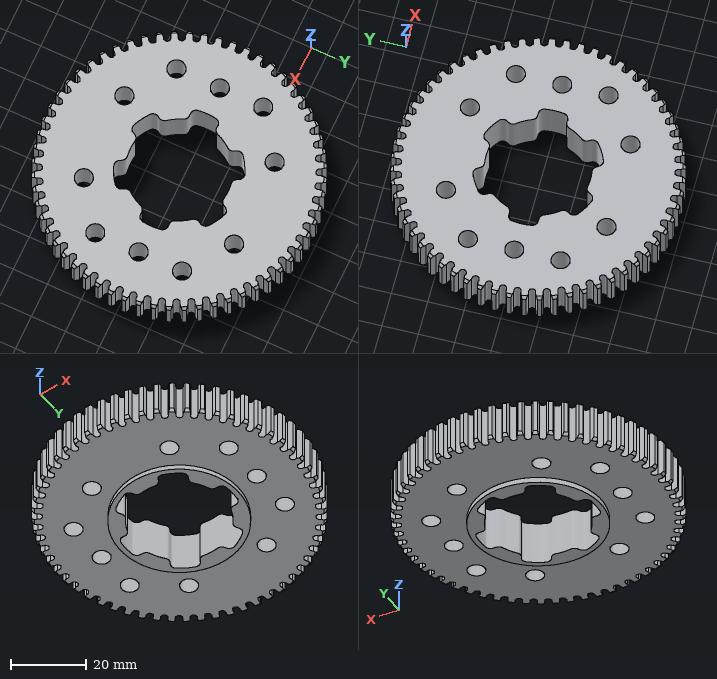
import cadquery as cq
import math

tooth_count = 60
outer_width = 78.6
gear_thickness = 11.15
tip_chamfer = 0.8

root_radius = 36.4
gap_root_half_width = 0.95
flank_start_radius = 37.9
gap_tip_half_width = 1.5

boss_radius = 19.0
boss_height = 1.6

lobe_count = 6
bore_minor_radius = 14.3
bore_major_radius = 17.45
lobe_width = 8.0
bore_fillet = 1.65

hole_diameter = 5.0
hole_pitch = 12.7

tip_corner_distance = outer_width / 2
tip_radius = math.hypot(tip_corner_distance, gap_tip_half_width)
pitch_angle = 2 * math.pi / tooth_count
total_height = gear_thickness + boss_height


def rotated(point, angle):
    """Turn a point about the gear axis."""
    x, y = point
    return (
        x * math.cos(angle) - y * math.sin(angle),
        x * math.sin(angle) + y * math.cos(angle),
    )


def tooth_outline():
    """Closed outline of all the teeth, going round gap by gap."""
    root_arc_centre = root_radius + gap_root_half_width
    start = (tip_corner_distance, -gap_tip_half_width)
    outline = cq.Workplane("XY").moveTo(*start)
    for index in range(tooth_count):
        angle = index * pitch_angle
        outline = (
            outline
            .lineTo(*rotated((flank_start_radius, -gap_root_half_width), angle))
            .lineTo(*rotated((root_arc_centre, -gap_root_half_width), angle))
            .threePointArc(
                rotated((root_radius, 0), angle),
                rotated((root_arc_centre, gap_root_half_width), angle),
            )
            .lineTo(*rotated((flank_start_radius, gap_root_half_width), angle))
            .lineTo(*rotated((tip_corner_distance, gap_tip_half_width), angle))
            .threePointArc(
                rotated((tip_radius, 0), angle + pitch_angle / 2),
                rotated(start, angle + pitch_angle),
            )
        )
    return outline.close()


def gear_body():
    """Toothed disc with both ends of the teeth chamfered."""
    chamfered_disc = (
        cq.Workplane("XY").circle(tip_radius).extrude(gear_thickness).edges().chamfer(tip_chamfer)
    )
    return tooth_outline().extrude(gear_thickness).intersect(chamfered_disc)


def bore_cutter():
    """Round bore with straight-sided lobes, all corners rounded."""
    lobes = cq.Workplane("XY").circle(bore_minor_radius).extrude(total_height)
    for index in range(lobe_count // 2):
        bar = (
            cq.Workplane("XY")
            .rect(outer_width, lobe_width)
            .extrude(total_height)
            .rotate((0, 0, 0), (0, 0, 1), index * 360 / lobe_count)
        )
        lobes = lobes.union(bar)
    limit = cq.Workplane("XY").circle(bore_major_radius).extrude(total_height)
    cutter = lobes.intersect(limit).edges("|Z").fillet(bore_fillet)
    return cutter.translate((0, 0, -boss_height))


def hole_positions():
    """Three holes down each side, and a pair above and below the bore."""
    side_x = 2 * hole_pitch
    end_y = math.sqrt(3) * hole_pitch
    positions = []
    for side in (-1, 1):
        for row in (-1, 0, 1):
            positions.append((side * side_x, row * hole_pitch))
        for end in (-1, 1):
            positions.append((side * hole_pitch, end * end_y))
    return positions


boss = cq.Workplane("XY").circle(boss_radius).extrude(-boss_height)
holes = (
    cq.Workplane("XY")
    .workplane(offset=-boss_height)
    .pushPoints(hole_positions())
    .circle(hole_diameter / 2)
    .extrude(total_height)
)

result = gear_body().union(boss).cut(bore_cutter()).cut(holes)